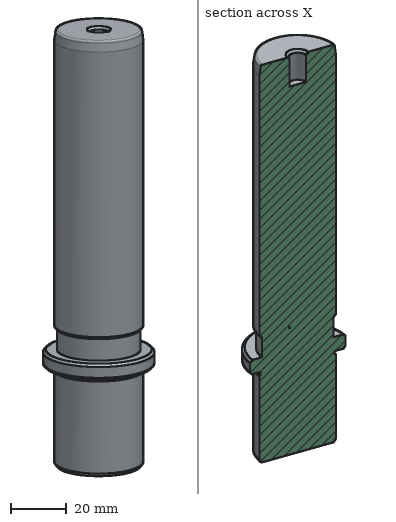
import cadquery as cq

total_length = 162.0
shaft_radius = 16.0

shank_length = 37.0
shank_end_chamfer_width = 1.0
shank_end_chamfer_height = 1.3
undercut_depth = 0.5
undercut_height = 1.5
undercut_floor_height = 1.0

collar_radius = 20.0
collar_height = 6.0
collar_chamfer = 1.0

neck_radius = 15.0
neck_length = 9.0
neck_chamfer = shaft_radius - neck_radius

lead_length = 4.0
lead_taper = 0.45
tip_round = 0.85

hole_radius = 3.3
hole_depth = 12.0
hole_mouth_radius = 4.3
hole_countersink_depth = hole_mouth_radius - hole_radius

collar_bottom = shank_length
collar_top = collar_bottom + collar_height
neck_top = collar_top + neck_length
undercut_radius = shaft_radius - undercut_depth
tip_radius = shaft_radius - lead_taper


def make_pillar():
    """Revolve the half outline of the stepped pillar about Z."""
    outline = (
        cq.Workplane("XZ")
        .moveTo(0, 0)
        .lineTo(shaft_radius - shank_end_chamfer_width, 0)
        .lineTo(shaft_radius, shank_end_chamfer_height)
        .lineTo(shaft_radius, collar_bottom - undercut_height)
        .lineTo(undercut_radius, collar_bottom - undercut_floor_height)
        .lineTo(undercut_radius, collar_bottom)
        .lineTo(collar_radius - collar_chamfer, collar_bottom)
        .lineTo(collar_radius, collar_bottom + collar_chamfer)
        .lineTo(collar_radius, collar_top - collar_chamfer)
        .lineTo(collar_radius - collar_chamfer, collar_top)
        .lineTo(neck_radius, collar_top)
        .lineTo(neck_radius, neck_top - neck_chamfer)
        .lineTo(shaft_radius, neck_top)
        .lineTo(shaft_radius, total_length - lead_length)
        .lineTo(tip_radius, total_length - tip_round)
        .radiusArc((tip_radius - tip_round, total_length), -tip_round)
        .lineTo(0, total_length)
        .close()
    )
    return outline.revolve(360, (0, 0, 0), (0, 1, 0))


def make_center_hole():
    """Blind hole with a countersunk mouth, as a solid to be cut away."""
    outline = (
        cq.Workplane("XZ")
        .moveTo(0, total_length)
        .lineTo(hole_mouth_radius, total_length)
        .lineTo(hole_radius, total_length - hole_countersink_depth)
        .lineTo(hole_radius, total_length - hole_depth)
        .lineTo(0, total_length - hole_depth)
        .close()
    )
    return outline.revolve(360, (0, 0, 0), (0, 1, 0))


result = make_pillar().cut(make_center_hole())